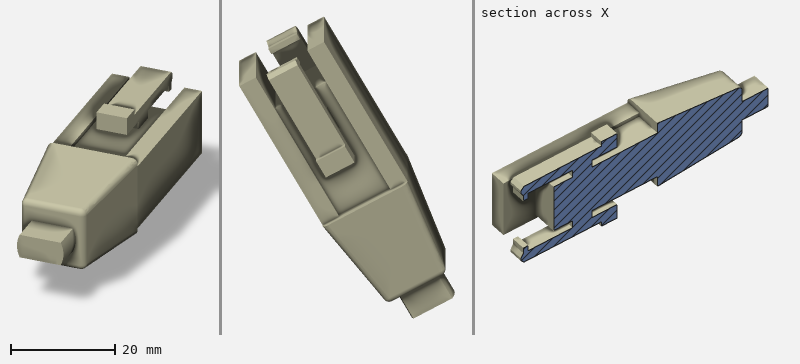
import cadquery as cq


body_width = 18.6
body_height = 13.5
body_length = 32.7
rail_gap = 11.3
floor_length = 25.0
floor_recess = 1.0

boot_base_height = 16.6
boot_tip_width = 13.1
boot_tip_height = 12.9
boot_length = 20.5
boot_radius = 1.2

plug_width = 9.6
plug_flat_width = 8.5
plug_height = 4.9
plug_length = 6.2

latch_width = 6.3
latch_front = 9.7
latch_rear = 32.9
latch_top = 22.19 / 2
latch_arm_top = 9.95
latch_arm_bottom = 7.45
latch_pad_length = 3.8
latch_post_front = 15.65
latch_post_rear = 20.45
latch_nose = 0.8
hook_front = 31.1
hook_rear = 32.3
hook_bottom = 6.1
hook_shoulder = 8.5


def centred_box(width, height, y_start, y_end):
    """Box centred on X = 0 and Z = 0, spanning y_start to y_end."""
    box = cq.Workplane("XY").box(width, y_end - y_start, height)
    return box.translate((0, (y_start + y_end) / 2, 0))


def make_body():
    block = centred_box(body_width, body_height, 0, body_length)
    channel = centred_box(rail_gap, body_height, 0, body_length)
    web = centred_box(rail_gap, body_height - 2 * floor_recess, 0, floor_length)
    return block.cut(channel).union(web)


def make_boot():
    boot = (
        cq.Workplane("XZ")
        .rect(body_width, boot_base_height)
        .workplane(offset=boot_length)
        .rect(boot_tip_width, boot_tip_height)
        .loft(ruled=True)
    )
    base_edges = cq.selectors.DirectionMinMaxSelector(cq.Vector(0, 1, 0), True)
    rounded_edges = cq.selectors.InverseSelector(base_edges)
    return boot.edges(rounded_edges).fillet(boot_radius)


def make_plug():
    half_width = plug_width / 2
    half_flat = plug_flat_width / 2
    half_height = plug_height / 2
    return (
        cq.Workplane("XZ", origin=(0, -boot_length, 0))
        .moveTo(-half_flat, half_height)
        .lineTo(half_flat, half_height)
        .threePointArc((half_width, 0), (half_flat, -half_height))
        .lineTo(-half_flat, -half_height)
        .threePointArc((-half_width, 0), (-half_flat, half_height))
        .close()
        .extrude(plug_length)
    )


def make_latch():
    """Upper latch: finger pad, arm, post down to the web, and hook."""
    floor_z = body_height / 2 - floor_recess
    pad_rear = latch_front + latch_pad_length
    profile = [
        (latch_front, latch_arm_bottom),
        (latch_front, latch_top),
        (pad_rear, latch_top),
        (pad_rear, latch_arm_top),
        (latch_rear - latch_nose, latch_arm_top),
        (latch_rear, latch_arm_top - latch_nose),
        (latch_rear, hook_shoulder),
        (hook_rear, latch_arm_bottom),
        (hook_rear, hook_bottom),
        (hook_front, hook_bottom),
        (hook_front, latch_arm_bottom),
        (latch_post_rear, latch_arm_bottom),
        (latch_post_rear, floor_z),
        (latch_post_front, floor_z),
        (latch_post_front, latch_arm_bottom),
    ]
    return cq.Workplane("YZ").polyline(profile).close().extrude(latch_width / 2, both=True)


upper_latch = make_latch()
lower_latch = upper_latch.mirror("XY")

result = make_body().union(make_boot()).union(make_plug()).union(upper_latch).union(lower_latch)